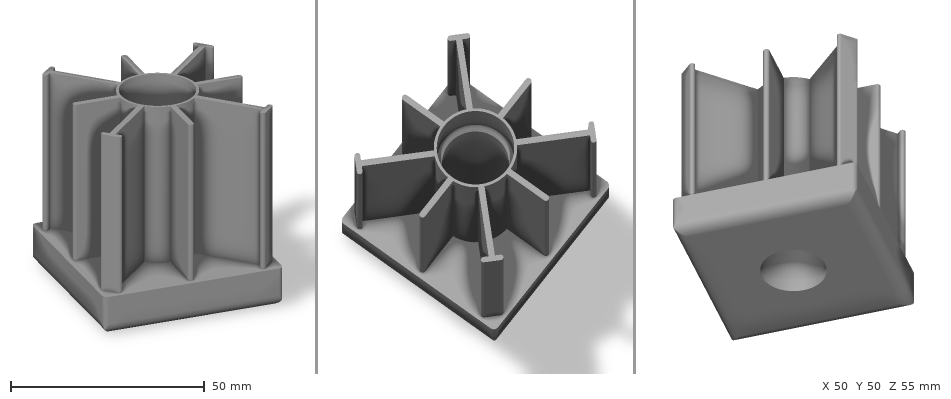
import cadquery as cq

cap_side = 50.0
cap_height = 10.9
cap_corner_radius = 1.4
bottom_edge_radius = 3.15

total_height = 55.0
tube_diameter = 21.5
bore_diameter = 20.0
hole_diameter = 17.25
bore_depth = 11.0
cone_height = (bore_diameter - hole_diameter) / 2

rib_thickness = 1.65
straight_rib_reach = 23.55
flange_thickness = 1.5
flange_length = 5.85
flange_center_radius = 30.45

rib_height = total_height - cap_height
rib_root = (bore_diameter + tube_diameter) / 4


def rounded_bottom_bar(direction):
    """Square bar whose two lower edges along one direction are rounded."""
    return (
        cq.Workplane("XY")
        .box(cap_side, cap_side, cap_height, centered=(True, True, False))
        .edges(direction)
        .edges("<Z")
        .fillet(bottom_edge_radius)
    )


def make_cap():
    """Cap with mitred round lower edges and rounded upright corners."""
    block = (
        cq.Workplane("XY")
        .rect(cap_side, cap_side)
        .extrude(cap_height)
        .edges("|Z")
        .fillet(cap_corner_radius)
    )
    return block.intersect(rounded_bottom_bar("|X")).intersect(rounded_bottom_bar("|Y"))


def make_straight_rib(angle):
    """Radial rib with a full-round outer end."""
    tip_radius = rib_thickness / 2
    tip_center = straight_rib_reach - tip_radius
    rib = (
        cq.Workplane("XY", origin=(0, 0, cap_height))
        .moveTo(rib_root, -tip_radius)
        .lineTo(tip_center, -tip_radius)
        .threePointArc((straight_rib_reach, 0), (tip_center, tip_radius))
        .lineTo(rib_root, tip_radius)
        .close()
        .extrude(rib_height)
    )
    return rib.rotate((0, 0, 0), (0, 0, 1), angle)


def make_corner_rib(angle):
    """Radial rib ending in a crosswise flange with round ends."""
    web_length = flange_center_radius - rib_root
    web = (
        cq.Workplane("XY", origin=(0, 0, cap_height))
        .center(rib_root + web_length / 2, 0)
        .rect(web_length, rib_thickness)
        .extrude(rib_height)
    )
    flange = (
        cq.Workplane("XY", origin=(0, 0, cap_height))
        .center(flange_center_radius, 0)
        .slot2D(flange_length, flange_thickness, 90)
        .extrude(rib_height)
    )
    return web.union(flange).rotate((0, 0, 0), (0, 0, 1), angle)


def make_bore():
    """Wide upper bore that narrows through a cone to the through hole."""
    bore_radius = bore_diameter / 2
    hole_radius = hole_diameter / 2
    bore_floor = total_height - bore_depth
    return (
        cq.Workplane("XZ")
        .lineTo(hole_radius, 0)
        .lineTo(hole_radius, bore_floor - cone_height)
        .lineTo(bore_radius, bore_floor)
        .lineTo(bore_radius, total_height)
        .lineTo(0, total_height)
        .close()
        .revolve(360, (0, 0, 0), (0, 1, 0))
    )


tube = (
    cq.Workplane("XY", origin=(0, 0, cap_height))
    .circle(tube_diameter / 2)
    .extrude(rib_height)
)
result = make_cap().union(tube)
for quarter in range(4):
    quarter_angle = quarter * 90
    result = result.union(make_straight_rib(quarter_angle))
    result = result.union(make_corner_rib(quarter_angle + 45))
result = result.cut(make_bore())